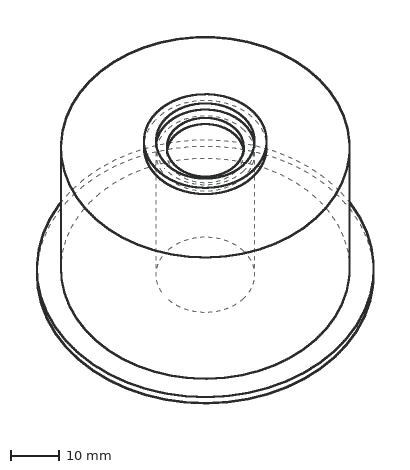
import cadquery as cq

flange_diameter = 70.0
flange_thickness = 2.0
body_diameter = 60.0
body_top = 41.0
boss_diameter = 25.5
boss_height = 2.0
seat_diameter = 20.5
upper_seat_depth = 2.0
bore_diameter = 16.0
shoulder_thickness = 2.0

total_height = body_top + boss_height


def disc(diameter, bottom, top):
    """Solid cylinder on the Z axis between two heights."""
    return cq.Workplane("XY").workplane(offset=bottom).circle(diameter / 2).extrude(top - bottom)


flange = disc(flange_diameter, 0, flange_thickness)
body = disc(body_diameter, 0, body_top)
boss = disc(boss_diameter, 0, total_height)

shoulder_top = total_height - upper_seat_depth
shoulder_bottom = shoulder_top - shoulder_thickness
upper_seat = disc(seat_diameter, shoulder_top, total_height)
lower_seat = disc(seat_diameter, 0, shoulder_bottom)
bore = disc(bore_diameter, 0, total_height)

result = flange.union(body).union(boss).cut(upper_seat).cut(lower_seat).cut(bore)